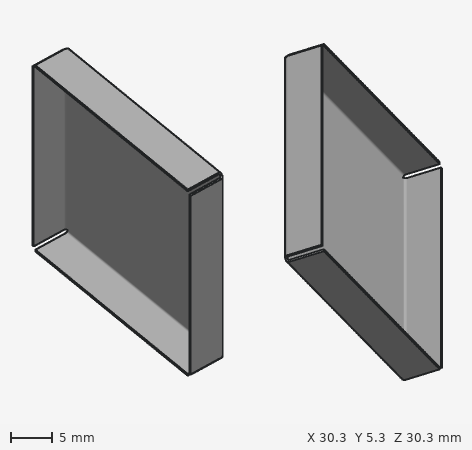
import cadquery as cq

side = 30.3
depth = 5.3
thickness = 0.3
outer_bend_radius = 0.6

inner_bend_radius = outer_bend_radius - thickness
wall_count = 4
flat_side = side - 2 * outer_bend_radius

half_side = side / 2
half_flat = flat_side / 2
rim_y = -depth / 2
back_y = depth / 2
base_front_y = back_y - thickness
bend_y = back_y - outer_bend_radius


def bent_wall():
    """Wall along the +X edge of the base, joined to it by a quarter-round bend."""
    diagonal = 0.5 ** 0.5
    outer_mid = (half_flat + outer_bend_radius * diagonal, bend_y + outer_bend_radius * diagonal)
    inner_mid = (half_flat + inner_bend_radius * diagonal, bend_y + inner_bend_radius * diagonal)
    return (
        cq.Workplane("XY")
        .moveTo(half_flat, back_y)
        .threePointArc(outer_mid, (half_side, bend_y))
        .lineTo(half_side, rim_y)
        .lineTo(half_side - thickness, rim_y)
        .lineTo(half_side - thickness, bend_y)
        .threePointArc(inner_mid, (half_flat, base_front_y))
        .close()
        .extrude(half_flat, both=True)
    )


base = cq.Workplane("XY").box(flat_side, thickness, flat_side)
result = base.translate((0, back_y - thickness / 2, 0))

wall = bent_wall()
for index in range(wall_count):
    turn = index * 360 / wall_count
    result = result.union(wall.rotate((0, 0, 0), (0, 1, 0), turn))